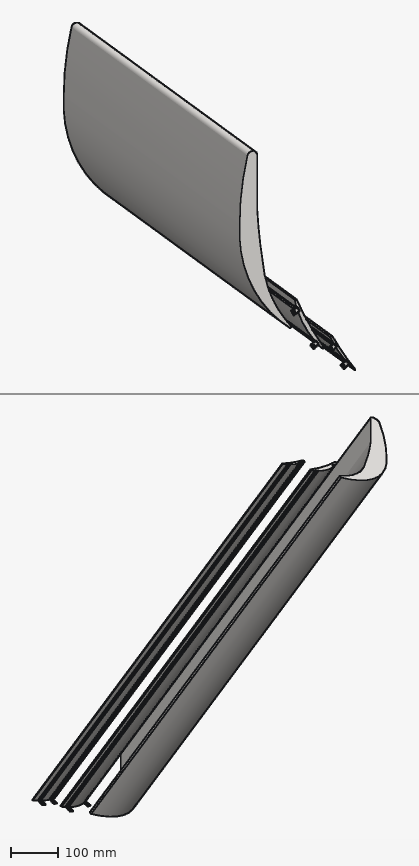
import cadquery as cq
import math

LENGTH = 950.0

BLADE_HEIGHT = 522.5
NOSE_TOP = (29.0, BLADE_HEIGHT)
NOSE_FRONT = (18.0, 514.0)
NOSE_BACK = (41.0, 514.0)
FRONT_UPPER_MID = (5.0, 441.0)
BLADE_FRONT = (0.0, 363.0)
FRONT_LOWER_MID = (24.0, 230.0)
TIP_FRONT = (117.0, 114.0)
TIP_BACK = (121.0, 118.0)
BACK_LOWER_MID = (66.0, 212.0)
BACK_BEND = (54.0, 268.0)
BACK_UPPER_MID = (46.0, 332.0)
BACK_STRAIGHT_END = (41.0, 389.5)

LARGE_SLAT = {
    "tail_back": (196.0, 60.0),
    "back_mid": (155.0, 128.0),
    "top_back": (132.0, 177.0),
    "top_front": (127.0, 177.0),
    "front_mid": (154.0, 107.0),
    "tail_front": (193.0, 58.0),
}
SMALL_SLAT = {
    "tail_back": (268.0, 2.0),
    "back_mid": (239.0, 43.0),
    "top_back": (215.0, 84.0),
    "top_front": (210.0, 82.0),
    "front_mid": (235.0, 39.0),
    "tail_front": (267.0, 0.0),
}

LUG_THICKNESS = 2.0
NECK_LENGTH = 7.0
HEAD_WIDTH = 12.0
HEAD_DEPTH = 9.0
FOOT_WIDTH = 10.0
FOOT_LENGTH = 17.0
FOOT_THICKNESS = 1.0
HOLE_DIAMETER = 5.0
FOOT_HOLE_INSET = 10.0
LUG_START = LENGTH - LUG_THICKNESS
FOOT_START = LENGTH - FOOT_LENGTH

LARGE_SLAT_BRACKETS = [((136.0, 154.0), 27.0), ((180.0, 74.0), 38.0)]
SMALL_SLAT_BRACKETS = [((221.0, 62.0), 33.0), ((250.0, 20.0), 37.0)]


def make_blade():
    return (
        cq.Workplane("YZ")
        .moveTo(*NOSE_BACK)
        .threePointArc(NOSE_TOP, NOSE_FRONT)
        .threePointArc(FRONT_UPPER_MID, BLADE_FRONT)
        .threePointArc(FRONT_LOWER_MID, TIP_FRONT)
        .lineTo(*TIP_BACK)
        .threePointArc(BACK_LOWER_MID, BACK_BEND)
        .threePointArc(BACK_UPPER_MID, BACK_STRAIGHT_END)
        .close()
        .extrude(LENGTH)
    )


def make_slat(section):
    return (
        cq.Workplane("YZ")
        .moveTo(*section["tail_back"])
        .threePointArc(section["back_mid"], section["top_back"])
        .lineTo(*section["top_front"])
        .threePointArc(section["front_mid"], section["tail_front"])
        .close()
        .extrude(LENGTH)
    )


def bracket_plane(centre, tilt):
    """Section plane with x along the slat's face, y pointing away from the slat and z along X."""
    angle = math.radians(tilt)
    outward = cq.Vector(0, -math.cos(angle), -math.sin(angle))
    return cq.Plane(
        origin=(0, *centre), xDir=outward.cross(cq.Vector(1, 0, 0)), normal=(1, 0, 0)
    )


def section_bar(plane, width, bottom, top, start):
    """Rectangular bar between two heights off the slat, from start to the +X end."""
    return (
        cq.Workplane(plane)
        .workplane(offset=start)
        .center(0, (bottom + top) / 2)
        .rect(width, top - bottom)
        .extrude(LENGTH - start)
    )


def make_groove(plane):
    """Cutter for the full-length groove, reaching past the face so that it opens fully."""
    return section_bar(plane, FOOT_WIDTH, -FOOT_THICKNESS, NECK_LENGTH, 0)


def make_bracket(plane, slat):
    foot = section_bar(plane, FOOT_WIDTH, -FOOT_THICKNESS, 0, FOOT_START)
    neck = section_bar(plane, FOOT_WIDTH, 0, NECK_LENGTH, LUG_START)
    head_top = NECK_LENGTH + HEAD_DEPTH
    head = section_bar(plane, HEAD_WIDTH, NECK_LENGTH, head_top, LUG_START)
    lug_hole = (
        cq.Workplane(plane)
        .workplane(offset=LUG_START)
        .center(0, NECK_LENGTH + HEAD_DEPTH / 2)
        .circle(HOLE_DIAMETER / 2)
        .extrude(LUG_THICKNESS)
    )
    foot_hole = cq.Workplane(
        cq.Solid.makeCylinder(
            HOLE_DIAMETER / 2,
            FOOT_THICKNESS,
            plane.toWorldCoords((0, -FOOT_THICKNESS, LENGTH - FOOT_HOLE_INSET)),
            plane.yDir,
        )
    )
    return foot.union(neck).union(head).cut(lug_hole).cut(foot_hole).cut(slat)


blade = make_blade()

slats = []
brackets = []
for section, placements in (
    (LARGE_SLAT, LARGE_SLAT_BRACKETS),
    (SMALL_SLAT, SMALL_SLAT_BRACKETS),
):
    planes = [bracket_plane(centre, tilt) for centre, tilt in placements]
    slat = make_slat(section)
    for plane in planes:
        slat = slat.cut(make_groove(plane))
    slats.append(slat)
    for plane in planes:
        brackets.append(make_bracket(plane, slat))

result = cq.Compound.makeCompound(
    [blade.val()]
    + [solid for body in slats + brackets for solid in body.solids().vals()]
)